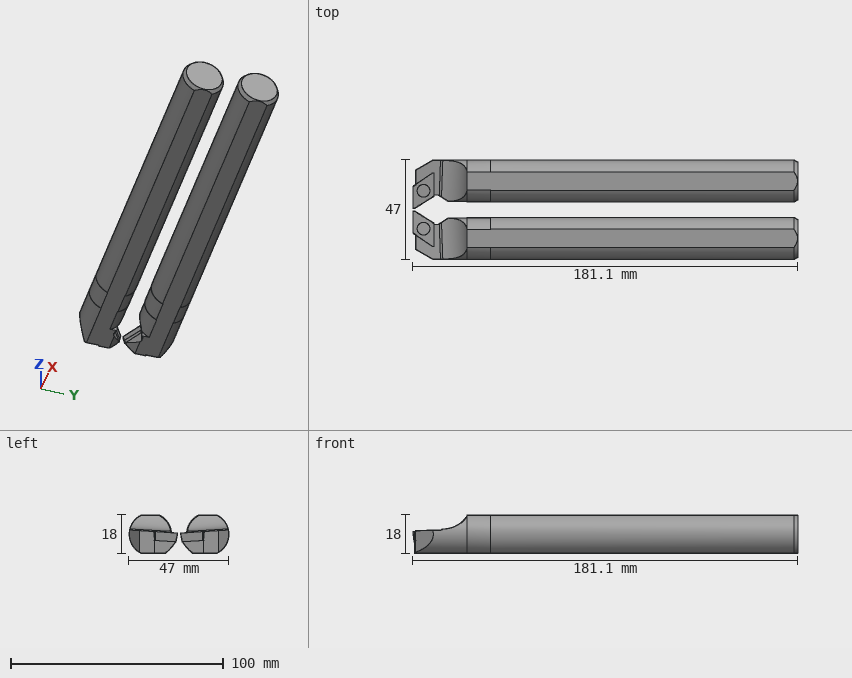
import cadquery as cq
import math


length = 181.1
pair_width = 47.0
height = 18.0
shank_radius = 10.0
outer_y = pair_width / 2
axis_y = outer_y - shank_radius
radius_step = 0.07
neck_radius = shank_radius - radius_step
head_radius = neck_radius - radius_step
head_end_x = 25.5
neck_end_x = 36.5
chamfer_length = 2.0
chamfer_depth = 1.18

insert_width = 10.0
insert_tip_y = 0.63
insert_heel_y = 17.2
tip_flat = 0.9
insert_nose_y = 11.0
insert_shoulder_y = 6.3
insert_thickness = 4.2
relief_angle = 7.0
pin_diameter = 6.0
pin_x = insert_width / 2
pin_y = (insert_tip_y + insert_heel_y) / 2

face_x = 1.3
seat_face_x = 0.7
seat_step_y = 11.6
bevel_end_x = 9.6
bevel_angle = 30.0
bevel_start_y = outer_y - (bevel_end_x - face_x) * math.tan(math.radians(bevel_angle))
seat_tip_y = 1.35
relief_wall_y = 6.9
relief_wall_end_x = 12.0
relief_end_x = 17.2
bulge_end_x = 13.2
bulge_bottom_y = 6.3
bulge_mid_y = 3.8
bulge_mid_z = -6.5
bulge_top_z = -3.3

rake_z = 0.5
rake_angle = 3.5
scoop_skew = 2.0
step_start_x = 12.1
step_end_x = 13.2
step_height = 0.5
scoop_radius = 13.5
scoop_sweep = 66.0
cutter_height = 14.5
margin = 5.5


def tilt(shape):
    """Bring a shape whose top plane is Z = 0 onto the raked top plane."""
    return shape.rotate((0, 0, 0), (1, 0, 0), rake_angle).translate((0, 0, rake_z))


def bar_section(x_start, x_end, radius):
    """Round stretch of the bar, tangent to the outer side."""
    return (
        cq.Workplane("YZ", origin=(x_start, outer_y - radius, 0))
        .circle(radius)
        .extrude(x_end - x_start)
    )


def make_flat_slab():
    """Slab whose faces cut the top and bottom flats."""
    return cq.Workplane("XY").box(2 * length, 2 * pair_width, height)


def make_shank():
    return (
        bar_section(neck_end_x, length, shank_radius)
        .faces(">X")
        .edges()
        .chamfer(chamfer_length, chamfer_depth)
        .intersect(make_flat_slab())
    )


def make_neck():
    return bar_section(head_end_x, neck_end_x, neck_radius).intersect(make_flat_slab())


def make_head():
    """Round head, bulged below the insert and trimmed to its plan outline."""
    bulge = (
        cq.Workplane("YZ")
        .moveTo(axis_y, -height / 2)
        .lineTo(bulge_bottom_y, -height / 2)
        .threePointArc((bulge_mid_y, bulge_mid_z), (seat_tip_y, bulge_top_z))
        .lineTo(seat_tip_y, rake_z)
        .lineTo(axis_y, rake_z)
        .close()
        .extrude(bulge_end_x)
    )
    plan = (
        cq.Workplane("XY", origin=(0, 0, -height / 2))
        .polyline([
            (seat_face_x, seat_step_y),
            (seat_face_x, seat_tip_y),
            (face_x, seat_tip_y),
            (insert_width, relief_wall_y),
            (relief_wall_end_x, relief_wall_y),
            (relief_end_x, outer_y - 2 * shank_radius),
            (head_end_x, outer_y - 2 * shank_radius),
            (head_end_x, outer_y),
            (bevel_end_x, outer_y),
            (face_x, bevel_start_y),
            (face_x, seat_step_y),
        ])
        .close()
        .extrude(height)
    )
    return bar_section(0, head_end_x, head_radius).union(bulge).intersect(plan)


def make_scoop():
    """Cutter that leaves the flat top, the small step and the curved run-out."""
    arc_angle = math.radians(scoop_sweep)
    mid_angle = arc_angle / 2

    def arc_point(angle):
        return (
            step_end_x + scoop_radius * math.sin(angle),
            step_height + scoop_radius * (1 - math.cos(angle)),
        )

    profile = (
        cq.Workplane("XZ", origin=(0, -margin, 0))
        .moveTo(-margin, 0)
        .lineTo(step_start_x, 0)
        .lineTo(step_end_x, step_height)
        .threePointArc(arc_point(mid_angle), arc_point(arc_angle))
        .lineTo(arc_point(arc_angle)[0], cutter_height)
        .lineTo(-margin, cutter_height)
        .close()
        .extrude(-(outer_y + 2 * margin))
    )
    return tilt(profile.rotate((0, 0, 0), (0, 0, 1), -scoop_skew))


def make_insert_blank():
    """Diamond plate with relieved sides, without its pin hole."""
    blank = (
        cq.Workplane("XY")
        .polyline([
            (0, insert_tip_y),
            (tip_flat, insert_tip_y),
            (insert_width, insert_shoulder_y),
            (insert_width, insert_heel_y),
            (insert_width - tip_flat, insert_heel_y),
            (0, insert_nose_y),
        ])
        .close()
        .extrude(-insert_thickness, taper=relief_angle)
    )
    return tilt(blank)


def make_pin():
    """Round stud of the holder that fills the hole of the insert."""
    return tilt(
        cq.Workplane("XY")
        .center(pin_x, pin_y)
        .circle(pin_diameter / 2)
        .extrude(-insert_thickness)
    )


def make_insert():
    return make_insert_blank().cut(make_pin())


def make_holder():
    head = make_head().cut(make_scoop()).cut(make_insert_blank()).union(make_pin())
    return make_shank().union(make_neck()).union(head)


bodies = []
for make_body in (make_holder, make_insert):
    body = make_body()
    bodies += [body.val(), body.mirror("XZ").val()]

result = cq.Compound.makeCompound(bodies)